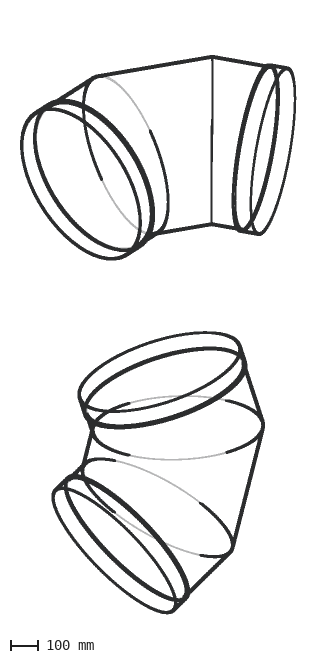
import cadquery as cq
import math

pipe_outer_diameter = 600.0
wall = 6.0
pipe_inner_diameter = pipe_outer_diameter - 2 * wall
collar_outer_diameter = pipe_outer_diameter + 2 * wall
collar_length = 67.0
collar_overlap = 8.0
end_rounding = wall

bend_angle = 60.0
mitre_count = 2
turn = bend_angle / mitre_count
bend_radius = 598.0
tangent_length = bend_radius * math.tan(math.radians(turn / 2))
socket_depth = collar_length - collar_overlap
mouth_leg = collar_length + tangent_length
middle_leg = 2 * tangent_length


def step(point, heading, distance):
    """Point a distance away, with the heading measured from +Y towards +X."""
    angle = math.radians(heading)
    return (point[0] + distance * math.sin(angle), point[1] + distance * math.cos(angle))


headings = [turn * i for i in range(mitre_count + 1)]
inlet = (0.0, 0.0)
first_mitre = step(inlet, headings[0], mouth_leg)
second_mitre = step(first_mitre, headings[1], middle_leg)
outlet = step(second_mitre, headings[-1], mouth_leg)
mouths = [(inlet, headings[0]), (outlet, headings[-1] + 180)]


def swept_rod(diameter):
    """Solid mitred rod along the bend, between the two pipe ends."""
    start = step(inlet, headings[0], socket_depth)
    end = step(outlet, headings[-1], -socket_depth)
    path = cq.Workplane("XY").polyline([start, first_mitre, second_mitre, end])
    section = cq.Workplane("XZ", origin=(start[0], start[1], 0)).circle(diameter / 2)
    return section.sweep(path, transition="right")


def placed_at_mouth(body, mouth, inward_heading):
    """Move a body built along +Y from the origin to an open mouth of the bend."""
    turned = body.rotate((0, 0, 0), (0, 0, 1), -inward_heading)
    return turned.translate((mouth[0], mouth[1], 0))


def make_rounding_cutter():
    """Ring of material that the rounding takes off the inner edge of a pipe end."""
    bore = pipe_inner_diameter / 2
    round_depth = socket_depth + end_rounding
    arc_offset = end_rounding * (1 - math.sqrt(0.5))
    section = (
        cq.Workplane("XY")
        .moveTo(bore, socket_depth)
        .lineTo(bore + end_rounding, socket_depth)
        .threePointArc((bore + arc_offset, socket_depth + arc_offset), (bore, round_depth))
        .close()
    )
    return section.revolve(360, (0, 0, 0), (0, 1, 0))


def make_elbow():
    """Mitred pipe elbow of constant wall thickness with rounded inner end edges."""
    pipe = swept_rod(pipe_outer_diameter).cut(swept_rod(pipe_inner_diameter))
    for mouth, inward_heading in mouths:
        pipe = pipe.cut(placed_at_mouth(make_rounding_cutter(), mouth, inward_heading))
    return pipe


def make_collar(mouth, inward_heading):
    """Sleeve from its open mouth inwards over the end of the pipe."""
    sleeve = (
        cq.Workplane("XZ")
        .circle(collar_outer_diameter / 2)
        .circle(pipe_outer_diameter / 2)
        .extrude(-collar_length)
    )
    return placed_at_mouth(sleeve, mouth, inward_heading)


elbow = make_elbow()
collars = [make_collar(mouth, inward_heading) for mouth, inward_heading in mouths]

result = cq.Compound.makeCompound([elbow.val(), *[collar.val() for collar in collars]])